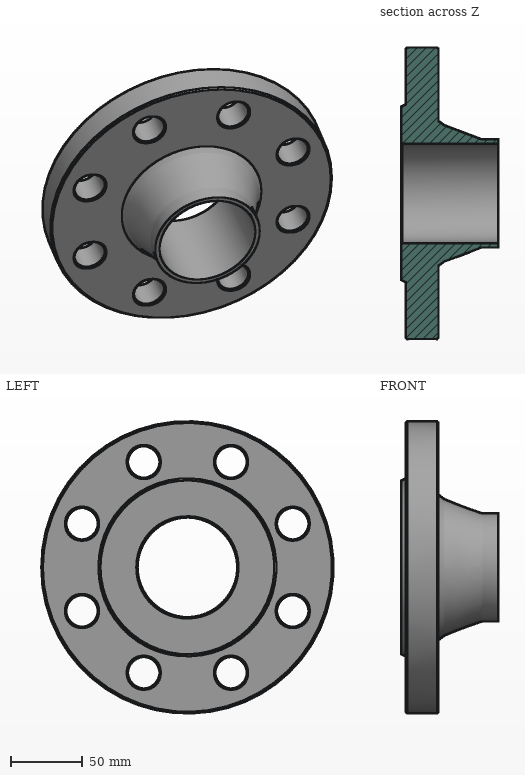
import cadquery as cq
import math

total_length = 68.0
raised_face_height = 3.0
flange_back = 26.2
fillet_end = 30.1
cone_end = 55.4
neck_start = 57.5

flange_diameter = 205.0
face_diameter = 121.8
face_base_diameter = 124.8
hub_base_diameter = 101.7
cone_base_diameter = 96.0
neck_diameter = 76.0
bore_diameter = 69.7
bolt_circle_diameter = 160.0
bolt_hole_diameter = 22.0

bolt_count = 8
rim_chamfer = 1.2
bolt_hole_chamfer = 1.0
bore_chamfer = 1.0


def blend_point(start, end, slope):
    """Midpoint of a curve that leaves start at the given slope and arrives level at end."""
    x = (start[0] + end[0]) / 2
    sag = slope * (end[0] - start[0]) / 8
    return x, (start[1] + end[1]) / 2 - sag


def make_body():
    """Flange, raised face and welding neck, revolved about X."""
    rim_radius = flange_diameter / 2
    neck_radius = neck_diameter / 2
    cone_start = (fillet_end, cone_base_diameter / 2)
    neck_point = (neck_start, neck_radius)
    cone_target_x = (cone_end + neck_start) / 2
    slope = (cone_start[1] - neck_radius) / (cone_target_x - fillet_end)
    cone_finish = (cone_end, neck_radius + slope * (cone_target_x - cone_end))
    return (
        cq.Workplane("XY")
        .lineTo(0, face_diameter / 2)
        .lineTo(raised_face_height, face_base_diameter / 2)
        .lineTo(raised_face_height, rim_radius - rim_chamfer)
        .lineTo(raised_face_height + rim_chamfer, rim_radius)
        .lineTo(flange_back - rim_chamfer, rim_radius)
        .lineTo(flange_back, rim_radius - rim_chamfer)
        .lineTo(flange_back, hub_base_diameter / 2)
        .lineTo(*cone_start)
        .lineTo(*cone_finish)
        .threePointArc(blend_point(cone_finish, neck_point, slope), neck_point)
        .lineTo(total_length, neck_radius)
        .lineTo(total_length, 0)
        .close()
        .revolve(360, (0, 0, 0), (1, 0, 0))
    )


def chamfered_hole(diameter, chamfer, start, end, both_ends):
    """Cutter along X with a chamfered front end and, if asked, a chamfered back end."""
    radius = diameter / 2
    profile = (
        cq.Workplane("XY")
        .moveTo(start, 0)
        .lineTo(start, radius + chamfer)
        .lineTo(start + chamfer, radius)
    )
    if both_ends:
        profile = profile.lineTo(end - chamfer, radius).lineTo(end, radius + chamfer)
    else:
        profile = profile.lineTo(end, radius)
    return profile.lineTo(end, 0).close().revolve(360, (0, 0, 0), (1, 0, 0))


result = make_body()
result = result.cut(chamfered_hole(bore_diameter, bore_chamfer, 0, total_length, False))

bolt_hole = chamfered_hole(
    bolt_hole_diameter, bolt_hole_chamfer, raised_face_height, flange_back, True
)
for index in range(bolt_count):
    angle = 2 * math.pi * (index + 0.5) / bolt_count
    y = bolt_circle_diameter / 2 * math.cos(angle)
    z = bolt_circle_diameter / 2 * math.sin(angle)
    result = result.cut(bolt_hole.translate((0, y, z)))